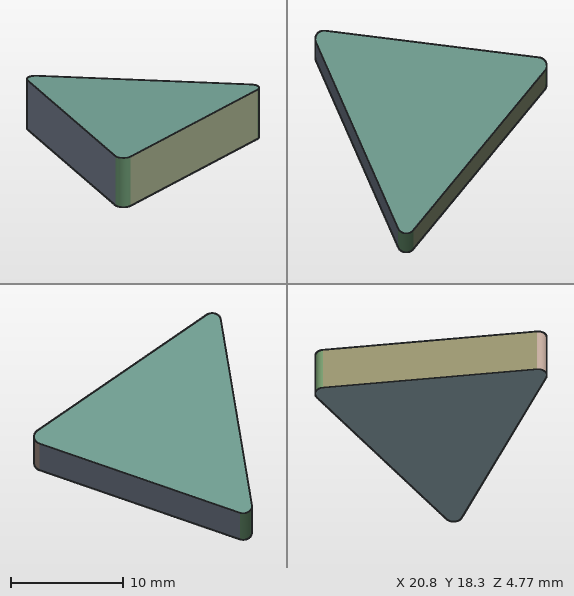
import cadquery as cq
import math

overall_width = 20.83
thickness = 4.77
corner_radius = 0.8

corner_spacing = overall_width - 2 * corner_radius

inscribed_radius = corner_spacing / (2 * math.sqrt(3)) + corner_radius
sharp_corner_radius = 2 * inscribed_radius


def corner_point(angle_degrees):
    """Sharp corner of the triangle in the given direction from its centre."""
    angle = math.radians(angle_degrees)
    return (sharp_corner_radius * math.cos(angle), sharp_corner_radius * math.sin(angle))


corners = [corner_point(angle) for angle in (90, 210, 330)]

result = (
    cq.Workplane("XY")
    .polyline(corners)
    .close()
    .extrude(thickness)
    .edges("|Z")
    .fillet(corner_radius)
)